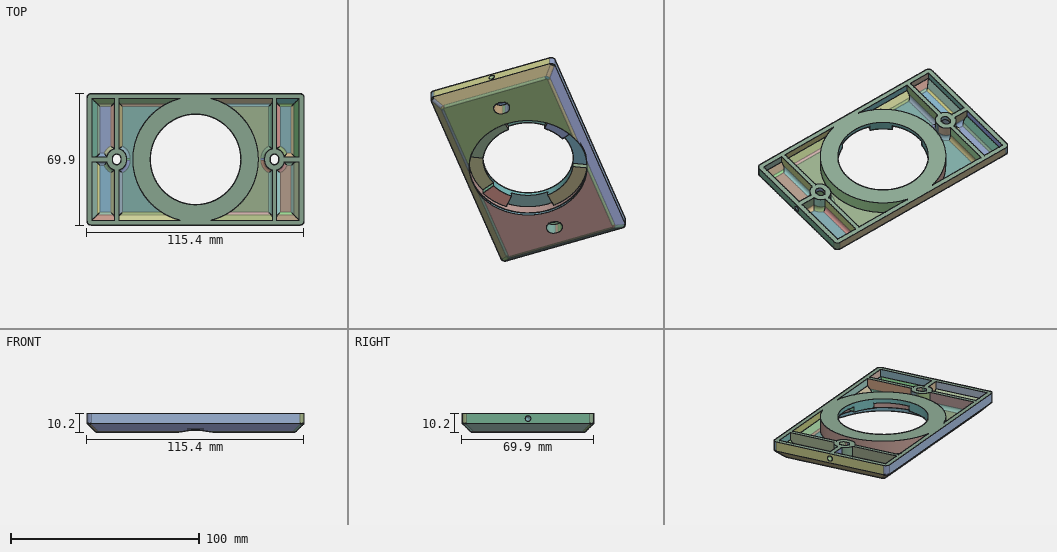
import cadquery as cq
import math

length = 115.4
width = 69.9
height = 10.2
corner_radius = 2.3
bevel = 4.8
bevel_fillet = 2.1

wall = 2.7
floor = 2.5
pocket_bevel = 3.5
floor_fillet = 2.0
pocket_length = length - 2 * wall
pocket_width = width - 2 * wall

ring_diameter = 66.7
bore_diameter = 48.0

entry_diameter = 62.5
entry_depth = 2.0
seat_diameter = 63.0
tab_underside = 4.8
lip_underside = 7.7
recess_angle = 47.0
recess_starts = (-6.0, 69.2, 174.0, 249.2)

boss_x = 41.9
boss_diameter = 10.4
screw_slot_width = 4.4
screw_head_width = 7.4
screw_head_top = lip_underside
slot_straight = 1.2
cross_rib_width = 2.3
end_rib_width = 2.7
end_rib_length = length / 2 - boss_x

dimple_diameter = 3.0
dimple_depth = 1.5
dimple_z = 7.4


def block(size_x, size_y, bottom, top):
    return cq.Workplane("XY").workplane(offset=bottom).rect(size_x, size_y).extrude(top - bottom)


def cylinder(diameter, bottom, top):
    return cq.Workplane("XY").workplane(offset=bottom).circle(diameter / 2).extrude(top - bottom)


def stretched_cylinder(x, diameter, bottom, top):
    return (
        cq.Workplane("XY", origin=(x, 0, bottom))
        .slot2D(diameter + slot_straight, diameter, 90)
        .extrude(top - bottom)
    )


def outer_body():
    body = block(length, width, 0, height).faces("<Z").chamfer(bevel)
    body = body.edges("not(|X or |Y)").fillet(corner_radius)
    return body.faces("<Z").edges().fillet(bevel_fillet)


def pocket_floor_edges(hollow):
    """Edges of the pocket floors, without the arcs around the central ring."""
    floor_edges = hollow.faces("<Z").edges()
    ring_radius = ring_diameter / 2
    tolerance = 0.01

    def is_ring_arc(edge):
        middle = edge.positionAt(0.5)
        return abs(math.hypot(middle.x, middle.y) - ring_radius) < tolerance

    return floor_edges.filter(lambda edge: not is_ring_arc(edge))


def pocket():
    """Sloped hollow, less the ring, ribs and bosses that stand in it."""
    hollow = block(pocket_length, pocket_width, floor, height).faces("<Z").chamfer(pocket_bevel)
    hollow = hollow.cut(cylinder(ring_diameter, 0, height))
    for side in (-1, 1):
        x = side * boss_x
        end_rib = block(end_rib_length, end_rib_width, 0, height)
        hollow = hollow.cut(block(cross_rib_width, width, 0, height).translate((x, 0, 0)))
        hollow = hollow.cut(end_rib.translate((side * (boss_x + end_rib_length / 2), 0, 0)))
        hollow = hollow.cut(stretched_cylinder(x, boss_diameter, 0, height))
    return pocket_floor_edges(hollow).fillet(floor_fillet)


def sector(start_angle, sweep, radius, bottom, top):
    """Pie-shaped block around the Z axis, with angles in degrees."""
    def point(angle):
        return (radius * math.cos(math.radians(angle)), radius * math.sin(math.radians(angle)))

    return (
        cq.Workplane("XY").workplane(offset=bottom)
        .lineTo(*point(start_angle))
        .threePointArc(point(start_angle + sweep / 2), point(start_angle + sweep))
        .close()
        .extrude(top - bottom)
    )


def seat():
    """Opening through the ring: lip bore, entry, seat, and recesses between the tabs."""
    opening = cylinder(bore_diameter, 0, height)
    opening = opening.union(cylinder(entry_diameter, 0, entry_depth))
    opening = opening.union(cylinder(seat_diameter, entry_depth, tab_underside))
    for start_angle in recess_starts:
        recess = sector(start_angle, recess_angle, seat_diameter / 2, tab_underside, lip_underside)
        opening = opening.union(recess)
    return opening


def screw_hole(x):
    """Slotted screw hole with a wider recess for the head underneath."""
    hole = stretched_cylinder(x, screw_slot_width, 0, height)
    return hole.union(stretched_cylinder(x, screw_head_width, 0, screw_head_top))


def dimple(side):
    """Conical dimple pointing inwards from one short side."""
    tip_direction = cq.Vector(-side, 0, 0)
    mouth_centre = cq.Vector(side * length / 2, 0, dimple_z)
    cone = cq.Solid.makeCone(dimple_diameter / 2, 0, dimple_depth, mouth_centre, tip_direction)
    return cq.Workplane(obj=cone)


result = outer_body().cut(pocket()).cut(seat())
for side in (-1, 1):
    result = result.cut(screw_hole(side * boss_x)).cut(dimple(side))